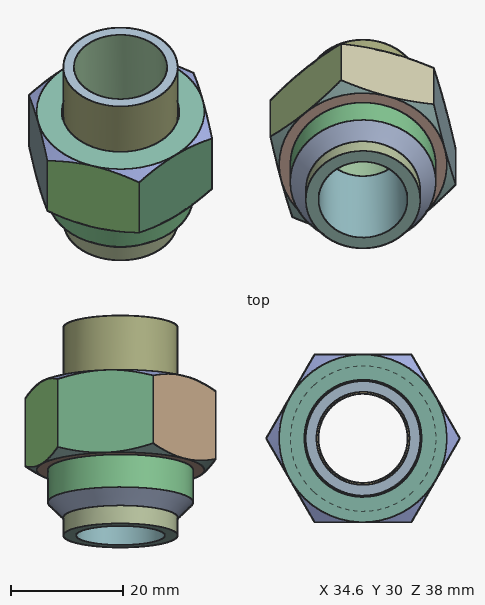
import cadquery as cq
import math

TOTAL_HEIGHT = 38.0
PIPE_RADIUS = 10.22

ACROSS_FLATS = 30.0
NUT_BOTTOM = 11.97
NUT_HEIGHT = 15.1
NUT_FACE_RADIUS = 14.97
CHAMFER_ANGLE = 30.0
NUT_LIP_THICKNESS = 3.05
NUT_HOLE_RADIUS = 10.5

BODY_RADIUS = 13.0
BODY_BORE_RADIUS = 7.95
BODY_NECK_HEIGHT = 3.25

TAIL_BORE_RADIUS = 8.32
FLANGE_THICKNESS = 3.05

ACROSS_CORNERS = ACROSS_FLATS / math.cos(math.radians(30))
CORNER_RADIUS = ACROSS_CORNERS / 2
CHAMFER_DEPTH = (CORNER_RADIUS - NUT_FACE_RADIUS) * math.tan(math.radians(CHAMFER_ANGLE))
NUT_TOP = NUT_BOTTOM + NUT_HEIGHT
LIP_BOTTOM = NUT_TOP - NUT_LIP_THICKNESS
FLANGE_BOTTOM = LIP_BOTTOM - FLANGE_THICKNESS
BODY_SHOULDER_TOP = BODY_NECK_HEIGHT + BODY_RADIUS - PIPE_RADIUS


def revolve_profile(points):
    """Turn a closed (radius, height) outline about the Z axis."""
    return cq.Workplane("XZ").polyline(points).close().revolve(360, (0, 0), (0, 1))


def make_body():
    """Lower half: pipe end, conical shoulder and a cylinder reaching into the nut."""
    return revolve_profile([
        (BODY_BORE_RADIUS, 0),
        (PIPE_RADIUS, 0),
        (PIPE_RADIUS, BODY_NECK_HEIGHT),
        (BODY_RADIUS, BODY_SHOULDER_TOP),
        (BODY_RADIUS, FLANGE_BOTTOM),
        (BODY_BORE_RADIUS, FLANGE_BOTTOM),
    ])


def make_tailpiece():
    """Upper half: pipe end with a flange held between the body and the nut lip."""
    return revolve_profile([
        (TAIL_BORE_RADIUS, FLANGE_BOTTOM),
        (BODY_RADIUS, FLANGE_BOTTOM),
        (BODY_RADIUS, LIP_BOTTOM),
        (PIPE_RADIUS, LIP_BOTTOM),
        (PIPE_RADIUS, TOTAL_HEIGHT),
        (TAIL_BORE_RADIUS, TOTAL_HEIGHT),
    ])


def make_nut():
    """Hexagon cut by a turned envelope that chamfers its corners and opens its bore."""
    hexagon = (
        cq.Workplane("XY")
        .workplane(offset=NUT_BOTTOM)
        .polygon(6, ACROSS_CORNERS)
        .extrude(NUT_HEIGHT)
    )
    envelope = revolve_profile([
        (BODY_RADIUS, NUT_BOTTOM),
        (NUT_FACE_RADIUS, NUT_BOTTOM),
        (CORNER_RADIUS, NUT_BOTTOM + CHAMFER_DEPTH),
        (CORNER_RADIUS, NUT_TOP - CHAMFER_DEPTH),
        (NUT_FACE_RADIUS, NUT_TOP),
        (NUT_HOLE_RADIUS, NUT_TOP),
        (NUT_HOLE_RADIUS, LIP_BOTTOM),
        (BODY_RADIUS, LIP_BOTTOM),
    ])
    return hexagon.intersect(envelope)


body = make_body()
tailpiece = make_tailpiece()
nut = make_nut()

result = cq.Compound.makeCompound([body.val(), tailpiece.val(), *nut.solids().vals()])